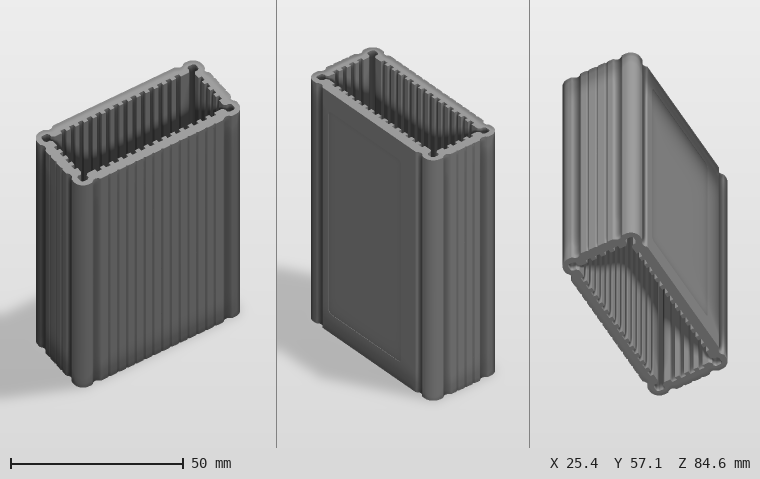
import cadquery as cq
import math

width = 25.4
depth = 57.15
height = 84.58
half_width = width / 2
half_depth = depth / 2

wall = 4.0
channel_inset = 3.175
channel_radius = 1.55
channel_width = 2.72
neck_width = 1.75
neck_length = 3.0
lip_radius = 0.8
corner_radius = channel_inset
channel_x = half_width - channel_inset
channel_y = half_depth - channel_inset
cavity_x = half_width - wall
cavity_y = half_depth - wall

slot_pitch = 3.048
slot_width = 1.6
slot_depth = 1.08
side_slots = 14
end_slots = 4

flute_inset = 5.84
flute_depth = 0.82
flute_radius = 1.524
flute_blend = 0.762
flute_x = half_width - flute_inset
flute_y = half_depth - flute_inset

groove_radius = 0.5
groove_depth = 0.25
side_grooves = 13
end_grooves = 3

label_width = 33.02
label_height = 71.12
label_center_y = 1.98
label_radius = 1.27
label_depth = 0.1


def centered_row(count, pitch):
    """Positions of equally spaced items, centered on zero."""
    return [(i - (count - 1) / 2) * pitch for i in range(count)]


def flute_cutter():
    """Flute bar that cuts into a face lying on the local X axis, material below it."""
    center_height = flute_radius - flute_depth
    reach = flute_radius + flute_blend
    half_opening = math.sqrt(reach**2 - (flute_blend + center_height) ** 2)
    share = flute_radius / reach
    join_x = half_opening * share
    join_y = center_height - (flute_blend + center_height) * share
    blend_angle = math.asin(half_opening / reach) / 2
    mid_x = half_opening - flute_blend * math.sin(blend_angle)
    mid_y = flute_blend * (math.cos(blend_angle) - 1)
    return (
        cq.Workplane("XY")
        .moveTo(-half_opening, 0)
        .threePointArc((-mid_x, mid_y), (-join_x, join_y))
        .threePointArc((0, -flute_depth), (join_x, join_y))
        .threePointArc((mid_x, mid_y), (half_opening, 0))
        .close()
        .extrude(height)
    )


def channel_cutter(neck_angle):
    """Screw channel at the origin with a straight neck leaving at neck_angle degrees."""
    flats = cq.Workplane("XY").rect(channel_width, channel_width).extrude(height)
    channel = cq.Workplane("XY").circle(channel_radius).extrude(height).intersect(flats)
    neck = (
        cq.Workplane("XY")
        .rect(neck_length, neck_width)
        .extrude(height)
        .translate((neck_length / 2, 0, 0))
        .rotate((0, 0, 0), (0, 0, 1), neck_angle)
    )
    return channel.union(neck)


def make_body():
    """Rounded rectangular tube with four screw channels open to the cavity."""
    block = cq.Workplane("XY").rect(width, depth).extrude(height).edges("|Z").fillet(corner_radius)
    cavity = cq.Workplane("XY").rect(2 * cavity_x, 2 * cavity_y).extrude(height)
    body = block.cut(cavity)
    for side_x in (-1, 1):
        for side_y in (-1, 1):
            inward_angle = math.degrees(math.atan2(-side_y, -side_x))
            channel = channel_cutter(inward_angle)
            body = body.cut(channel.translate((side_x * channel_x, side_y * channel_y, 0)))
    return body


def round_lips(body):
    """Round the corners where the channel necks open into the cavity walls."""
    neck_shift = neck_width / math.sqrt(2)
    axis_shift = channel_y - channel_x
    side_lip_y = cavity_x + axis_shift - neck_shift
    end_lip_x = cavity_y - axis_shift - neck_shift
    for side_x in (-1, 1):
        for side_y in (-1, 1):
            for x, y in ((cavity_x, side_lip_y), (end_lip_x, cavity_y)):
                lip_center = (side_x * x, side_y * y, height / 2)
                body = body.edges(cq.selectors.NearestToPointSelector(lip_center)).fillet(lip_radius)
    return body


def cut_guide_slots(body):
    """Slots in pairs of facing walls, so each pair is one bar across the cavity."""
    bar_x = 2 * (cavity_x + slot_depth)
    bar_y = 2 * (cavity_y + slot_depth)
    side_points = [(0, y) for y in centered_row(side_slots, slot_pitch)]
    end_points = [(x, 0) for x in centered_row(end_slots, slot_pitch)]
    side_bars = cq.Workplane("XY").pushPoints(side_points).rect(bar_x, slot_width).extrude(height)
    end_bars = cq.Workplane("XY").pushPoints(end_points).rect(slot_width, bar_y).extrude(height)
    return body.cut(side_bars).cut(end_bars)


def cut_flutes(body):
    """Two flutes on each of the four outer faces."""
    faces = [(0, half_depth, flute_x), (180, half_depth, flute_x),
             (90, half_width, flute_y), (270, half_width, flute_y)]
    for angle, face_offset, flute_offset in faces:
        for side in (-1, 1):
            flute = flute_cutter().translate((side * flute_offset, face_offset, 0))
            body = body.cut(flute.rotate((0, 0, 0), (0, 0, 1), angle))
    return body


def cut_fine_grooves(body):
    """Fine grooves aligned with the ribs between the guide slots."""
    axis_offset = groove_radius - groove_depth
    end_y = half_depth + axis_offset
    points = [(half_width + axis_offset, y) for y in centered_row(side_grooves, slot_pitch)]
    for x in centered_row(end_grooves, slot_pitch):
        points += [(x, -end_y), (x, end_y)]
    return body.cut(cq.Workplane("XY").pushPoints(points).circle(groove_radius).extrude(height))


def cut_label_recess(body):
    """Rounded rectangular recess for a label."""
    recess = (
        cq.Workplane("XY")
        .box(2 * label_depth, label_width, label_height)
        .edges("|X")
        .fillet(label_radius)
        .translate((-half_width, label_center_y, height / 2))
    )
    return body.cut(recess)


result = cut_label_recess(cut_fine_grooves(cut_flutes(cut_guide_slots(round_lips(make_body())))))